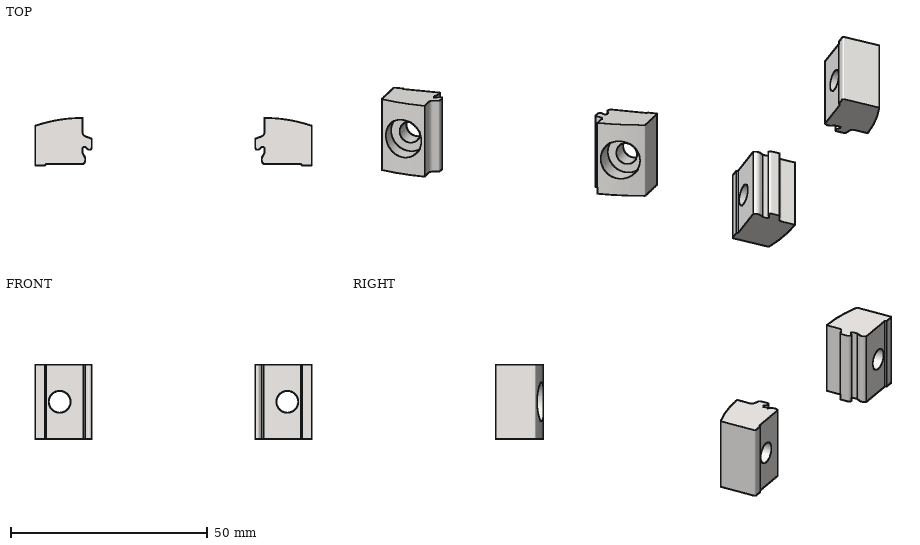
import cadquery as cq
import math

overall_width = 70.6
jaw_depth = 12.2
jaw_height = 19.0

wall_across = 12.15
back_radius = 37.4
foot_width = 2.8
foot_height = 0.4
foot_slant = 0.3
outer_edge_radius = 0.35

lip_across = 14.5
lip_root_along = 7.8
lip_root_radius = 1.05
lip_top_along = 6.9
lip_corner_radius = 0.4
hook_radius = 0.65
groove_radius = 0.46
groove_centre_along = 4.34

bead_start_along = 3.25
bead_across = 12.85
bead_middle_along = 1.8
bead_shoulder_across = 12.6
bead_shoulder_along = 2.5
bead_end_across = 12.35

hole_across = 6.3
hole_diameter = 5.5
counterbore_diameter = 10.0
counterbore_depth = 6.0

back_drop = back_radius - math.sqrt(back_radius**2 - wall_across**2)

groove_across = wall_across + groove_radius
hook_across = lip_across - hook_radius
centre_spacing = math.sqrt(2) * (groove_radius + hook_radius)
hook_centre_along = groove_across + groove_centre_along + centre_spacing - hook_across
groove_offset = groove_radius / math.sqrt(2)
hook_offset = hook_radius / math.sqrt(2)

outer_side = -overall_width / 2


def round_edge(body, across, along, radius):
    """Round the upright edge of the profile nearest to the given point."""
    edge = cq.selectors.NearestToPointSelector((across, along, 0))
    return body.edges("|Z").edges(edge).fillet(radius)


def make_profile_block():
    block = (
        cq.Workplane("XY")
        .moveTo(0, 0)
        .lineTo(0, jaw_depth - back_drop)
        .radiusArc((wall_across, jaw_depth), back_radius)
        .lineTo(wall_across, lip_root_along)
        .lineTo(lip_across, lip_top_along)
        .lineTo(lip_across, hook_centre_along)
        .threePointArc(
            (hook_across, hook_centre_along - hook_radius),
            (hook_across - hook_offset, hook_centre_along - hook_offset),
        )
        .lineTo(groove_across + groove_offset, groove_centre_along + groove_offset)
        .threePointArc(
            (groove_across, groove_centre_along + groove_radius),
            (wall_across, groove_centre_along),
        )
        .lineTo(wall_across, bead_start_along)
        .lineTo(bead_shoulder_across, bead_shoulder_along)
        .threePointArc((bead_across, bead_middle_along), (bead_end_across, foot_height))
        .lineTo(foot_width, foot_height)
        .lineTo(foot_width - foot_slant, 0)
        .close()
        .extrude(jaw_height / 2, both=True)
    )
    block = round_edge(block, 0, 0, outer_edge_radius)
    block = round_edge(block, 0, jaw_depth - back_drop, outer_edge_radius)
    block = round_edge(block, wall_across, lip_root_along, lip_root_radius)
    return round_edge(block, lip_across, lip_top_along, lip_corner_radius)


def make_screw_hole():
    """Through hole along Y, counterbored from the curved back."""
    back_plane = cq.Workplane("XZ", origin=(hole_across, jaw_depth, 0))
    hole = back_plane.circle(hole_diameter / 2).extrude(jaw_depth)
    counterbore = back_plane.circle(counterbore_diameter / 2).extrude(counterbore_depth)
    return hole.union(counterbore)


def make_jaw():
    jaw = make_profile_block().cut(make_screw_hole())
    return jaw.translate((outer_side, -jaw_depth / 2, 0))


left_jaw = make_jaw()
right_jaw = left_jaw.mirror("YZ")

result = cq.Compound.makeCompound([left_jaw.val(), right_jaw.val()])